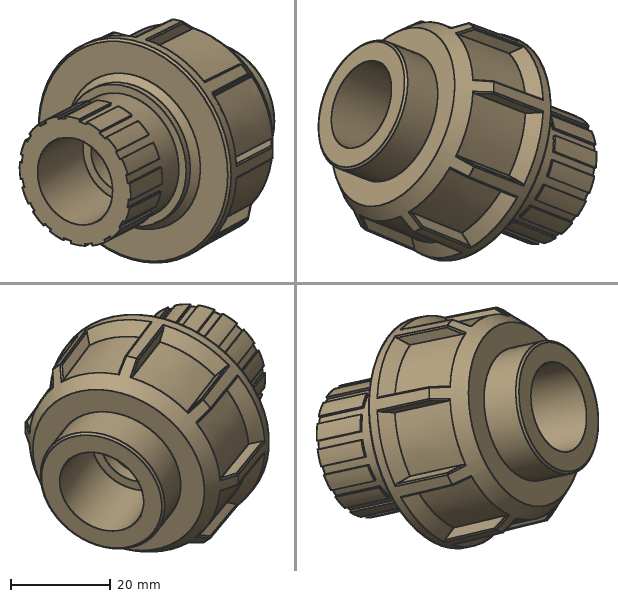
import cadquery as cq
import math

TOTAL_LENGTH = 51.0

CUT_MARGIN = 1.0

PIPE_END_RADIUS = 13.7
SOCKET_RADIUS = 9.25
SOCKET_DEPTH = 16.0
SPLINED_BORE_RADIUS = 7.3
PLAIN_BORE_RADIUS = 7.2

NECK_RADIUS = 13.2
PAD_LENGTH = 11.1
PAD_COUNT = 16
PAD_PITCH = 360.0 / PAD_COUNT
PAD_ANGLE = 15.0
PAD_OFFSET_ANGLE = 3.0
COLLAR_RADIUS = 15.0
COLLAR_START = 17.65
COLLAR_END = 19.1

NUT_START = 20.5
NUT_LENGTH = 22.0
NUT_END = NUT_START + NUT_LENGTH
NUT_RADIUS = 23.74
NUT_FACE_CHAMFER = 0.5
NUT_BACK_RADIUS = 18.9
NUT_BORE_RADIUS = 16.5
NUT_BACK_WALL = 4.0
NUT_DRAFT = math.tan(math.radians(1.0))
KNEE_Y = 36.0

RIB_COUNT = 8
POCKET_FRONT_Y = 23.0
POCKET_FLOOR_FRONT_Y = 25.6
POCKET_FLOOR_BACK_Y = 39.45
RIB_HALF_WIDTH_FRONT = 1.6
RIB_HALF_WIDTH_BACK = 1.45
RIB_WALL_DRAFT = 0.15
RIB_CHAMFER = 0.3

JOINT_Y = 32.0
FLANGE_END = NUT_END - NUT_BACK_WALL
PLAIN_END_CHAMFER = 0.45


def turned(points):
    """Solid of revolution about Y from (radius, y) points."""
    return cq.Workplane("XY").polyline(points).close().revolve(360, (0, 0, 0), (0, 1, 0))


def cylinder(radius, start, end):
    """Cylinder along Y between two Y positions."""
    return cq.Workplane("XZ", origin=(0, start, 0)).circle(radius).extrude(start - end)


def around_axis(body, angle):
    """Copy of a body turned about the Y axis."""
    return body.rotate((0, 0, 0), (0, 1, 0), angle)


def make_pad():
    """One raised spline pad, a sector of a ring."""
    half = math.radians(PAD_ANGLE / 2)

    def rim(radius, angle):
        return (radius * math.sin(angle), radius * math.cos(angle))

    root_radius = NECK_RADIUS - CUT_MARGIN
    return (
        cq.Workplane("XZ")
        .moveTo(*rim(root_radius, -half))
        .lineTo(*rim(PIPE_END_RADIUS, -half))
        .threePointArc((0, PIPE_END_RADIUS), rim(PIPE_END_RADIUS, half))
        .lineTo(*rim(root_radius, half))
        .close()
        .extrude(-PAD_LENGTH)
    )


def make_splined_end():
    body = turned([
        (0, 0),
        (NECK_RADIUS, 0),
        (NECK_RADIUS, COLLAR_START),
        (COLLAR_RADIUS, COLLAR_START),
        (COLLAR_RADIUS, COLLAR_END),
        (NUT_BORE_RADIUS, NUT_START),
        (NUT_BORE_RADIUS, JOINT_Y),
        (0, JOINT_Y),
    ])
    pad = make_pad()
    for index in range(PAD_COUNT):
        body = body.union(around_axis(pad, index * PAD_PITCH - PAD_OFFSET_ANGLE))
    body = body.cut(cylinder(SOCKET_RADIUS, 0, SOCKET_DEPTH))
    return body.cut(cylinder(SPLINED_BORE_RADIUS, 0, JOINT_Y))


def make_plain_end():
    body = turned([
        (0, JOINT_Y),
        (NUT_BORE_RADIUS, JOINT_Y),
        (NUT_BORE_RADIUS, FLANGE_END),
        (PIPE_END_RADIUS, FLANGE_END),
        (PIPE_END_RADIUS, TOTAL_LENGTH - PLAIN_END_CHAMFER),
        (PIPE_END_RADIUS - PLAIN_END_CHAMFER, TOTAL_LENGTH),
        (0, TOTAL_LENGTH),
    ])
    body = body.cut(cylinder(PLAIN_BORE_RADIUS, JOINT_Y, TOTAL_LENGTH))
    return body.cut(cylinder(SOCKET_RADIUS, TOTAL_LENGTH - SOCKET_DEPTH, TOTAL_LENGTH))


CHAMFER_END_Y = NUT_START + NUT_FACE_CHAMFER
KNEE_RADIUS = NUT_RADIUS - (KNEE_Y - CHAMFER_END_Y) * NUT_DRAFT
BACK_CONE_SLOPE = (KNEE_RADIUS - NUT_BACK_RADIUS) / (NUT_END - KNEE_Y)
FLOOR_BACK_RADIUS = NUT_BACK_RADIUS + (NUT_END - POCKET_FLOOR_BACK_Y) * BACK_CONE_SLOPE
FLOOR_FRONT_RADIUS = FLOOR_BACK_RADIUS + (POCKET_FLOOR_BACK_Y - POCKET_FLOOR_FRONT_Y) * NUT_DRAFT
POCKET_RIM_RADIUS = NUT_RADIUS - (POCKET_FRONT_Y - CHAMFER_END_Y) * NUT_DRAFT


def make_rib():
    """Drafted wedge that stays between two neighbouring pockets; it narrows outwards and towards the back."""
    inner = FLOOR_BACK_RADIUS - CUT_MARGIN
    outer = NUT_RADIUS + 2 * CUT_MARGIN
    spread = RIB_WALL_DRAFT

    def section(half_width):
        return [
            (-half_width - spread, inner),
            (half_width + spread, inner),
            (half_width - spread, outer),
            (-half_width + spread, outer),
        ]

    length = POCKET_FLOOR_BACK_Y - POCKET_FRONT_Y
    return (
        cq.Workplane("XZ", origin=(0, POCKET_FRONT_Y, 0))
        .polyline(section(RIB_HALF_WIDTH_FRONT))
        .close()
        .workplane(offset=-length)
        .polyline(section(RIB_HALF_WIDTH_BACK))
        .close()
        .loft(ruled=True)
    )


def make_pockets():
    """Ring of material outside the pocket floors, interrupted by the ribs."""
    clear_radius = NUT_RADIUS + CUT_MARGIN
    pockets = turned([
        (FLOOR_BACK_RADIUS, POCKET_FLOOR_BACK_Y),
        (FLOOR_FRONT_RADIUS, POCKET_FLOOR_FRONT_Y),
        (POCKET_RIM_RADIUS, POCKET_FRONT_Y),
        (clear_radius, POCKET_FRONT_Y),
        (clear_radius, POCKET_FLOOR_BACK_Y),
    ])
    rib = make_rib()
    for index in range(RIB_COUNT):
        pockets = pockets.cut(around_axis(rib, index * 360.0 / RIB_COUNT))
    return pockets


def rib_rim_edges(nut):
    """Long outer edges of the ribs, along the drafted outside and down the back cone."""
    shortest_rim = 1.0
    rim_clearance = 0.6
    rim = []
    for edge in nut.edges().vals():
        start = edge.startPoint()
        end = edge.endPoint()
        middle = edge.positionAt(0.5)
        runs_along_y = abs(end.y - start.y) > shortest_rim
        on_rim = math.hypot(middle.x, middle.z) > FLOOR_FRONT_RADIUS + rim_clearance
        inside_pocket = POCKET_FLOOR_FRONT_Y < middle.y < POCKET_FLOOR_BACK_Y
        if runs_along_y and on_rim and inside_pocket:
            rim.append(edge)
    return rim


def make_nut():
    nut = turned([
        (0, NUT_START),
        (NUT_RADIUS - NUT_FACE_CHAMFER, NUT_START),
        (NUT_RADIUS, CHAMFER_END_Y),
        (KNEE_RADIUS, KNEE_Y),
        (NUT_BACK_RADIUS, NUT_END),
        (0, NUT_END),
    ])
    nut = nut.cut(make_pockets())
    nut = nut.newObject(rib_rim_edges(nut)).chamfer(RIB_CHAMFER)
    nut = nut.cut(cylinder(NUT_BORE_RADIUS, NUT_START, FLANGE_END))
    return nut.cut(cylinder(PIPE_END_RADIUS, FLANGE_END, NUT_END))


splined_end = make_splined_end()
plain_end = make_plain_end()
nut = make_nut()

result = cq.Compound.makeCompound([splined_end.val(), plain_end.val(), nut.val()])